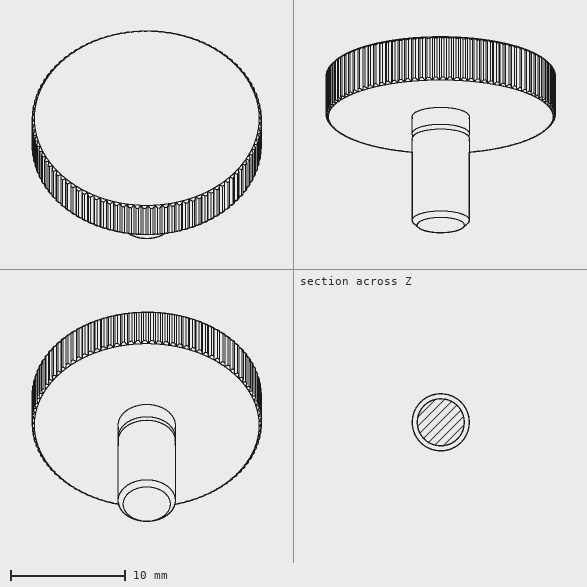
import cadquery as cq

head_diameter = 20.0
head_height = 4.0
head_chamfer = 0.2
groove_count = 100
groove_depth = 0.2
groove_overshoot = 0.08

total_height = 14.0
stem_diameter = 5.0
pin_length = 8.0
stem_bevel = 0.45

head_radius = head_diameter / 2
stem_radius = stem_diameter / 2
head_bottom = total_height - head_height
collar_bottom = pin_length + stem_bevel


def knurl_grooves():
    """Ring of 90-degree V-grooves along the rim, one of them on each axis."""
    mouth_radius = head_radius + groove_overshoot
    mouth_half_width = groove_depth + groove_overshoot
    groove = (
        cq.Workplane("XY")
        .workplane(offset=head_bottom)
        .moveTo(head_radius - groove_depth, 0)
        .lineTo(mouth_radius, -mouth_half_width)
        .lineTo(mouth_radius, mouth_half_width)
        .close()
        .extrude(head_height)
        .val()
    )
    pitch_angle = 360 / groove_count
    return [
        groove.rotate(cq.Vector(0, 0, 0), cq.Vector(0, 0, 1), index * pitch_angle)
        for index in range(groove_count)
    ]


def knurled_head():
    """Disc with both rims chamfered and a straight knurl cut around it."""
    disc = (
        cq.Workplane("XY")
        .workplane(offset=head_bottom)
        .circle(head_radius)
        .extrude(head_height)
        .edges()
        .chamfer(head_chamfer)
    )
    return cq.Workplane(disc.val().cut(*knurl_grooves()))


def stem():
    """Turned stem: collar, tapered undercut, then a chamfered pin."""
    profile = [
        (0, 0),
        (stem_radius - stem_bevel, 0),
        (stem_radius, stem_bevel),
        (stem_radius, pin_length),
        (stem_radius - stem_bevel, pin_length),
        (stem_radius, collar_bottom),
        (stem_radius, head_bottom),
        (0, head_bottom),
    ]
    return cq.Workplane("XZ").polyline(profile).close().revolve(360, (0, 0, 0), (0, 1, 0))


result = knurled_head().union(stem())